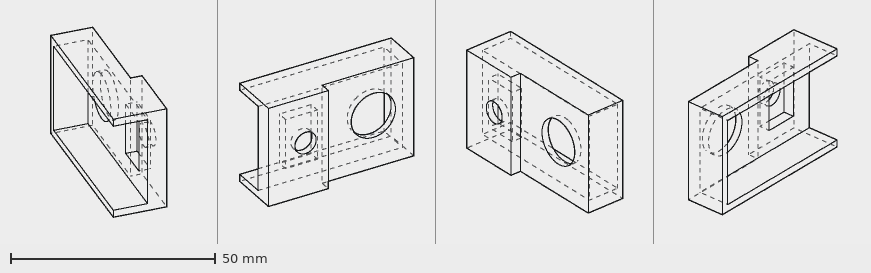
import cadquery as cq

length = 43.0
height = 28.0
depth = 14.0

wall = 2.0
step_height = 3.0
floor_thickness = 2.0
thin_depth = depth - step_height
cavity_depth = thin_depth - floor_thickness

step_x = 26.0

opening_z = 1.0

large_hole_diameter = 12.5
large_hole_x = 11.5

pocket_x = 32.45
pocket_length = 9.05
pocket_height = 14.0
pocket_depth = step_height
small_hole_diameter = 6.0


def block(x_start, x_end, y_start, y_end, z_size, z_centre=0):
    """Box between the given X and Y limits, centred in Z on z_centre."""
    return (
        cq.Workplane("XY")
        .box(x_end - x_start, y_end - y_start, z_size, centered=(False, False, True))
        .translate((x_start, y_start, z_centre))
    )


def through_hole(x, diameter):
    """Cylinder along Y through the whole depth, on the openings' centre line."""
    return cq.Workplane("XZ").center(x, opening_z).circle(diameter / 2).extrude(-depth)


body = block(0, length, 0, thin_depth, height)
body = body.union(block(step_x, length, thin_depth, depth, height))

cavity = block(wall, length, 0, cavity_depth, height - 2 * wall)

pocket = block(
    pocket_x - pocket_length / 2,
    pocket_x + pocket_length / 2,
    cavity_depth,
    cavity_depth + pocket_depth,
    pocket_height,
    opening_z,
)

result = (
    body.cut(cavity)
    .cut(pocket)
    .cut(through_hole(large_hole_x, large_hole_diameter))
    .cut(through_hole(pocket_x, small_hole_diameter))
)